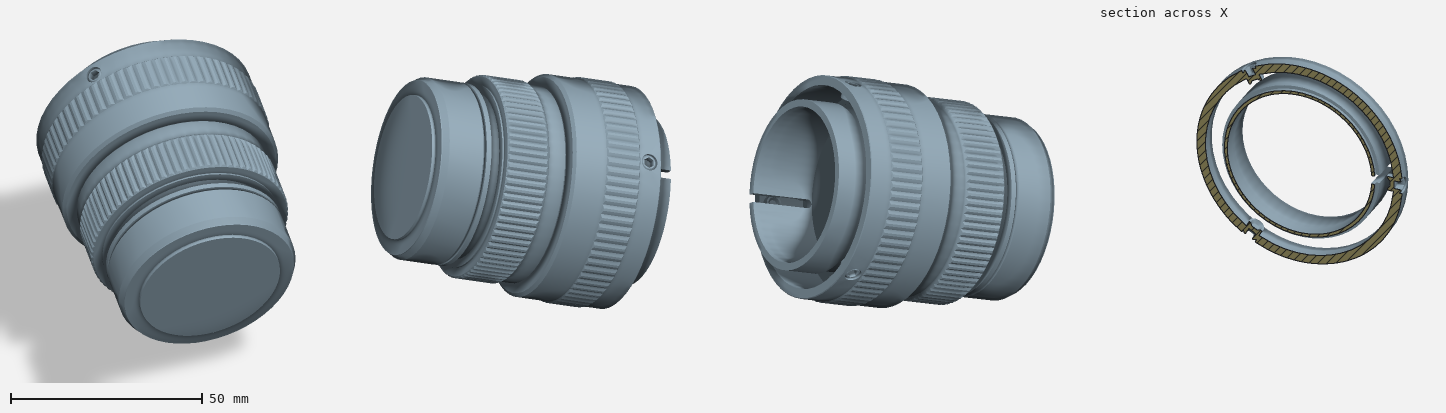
import cadquery as cq
import math

length = 66.6

tube_radius = 22.5
bore_radius = 20.6
bore_depth = 17.9
rear_tube_radius = 22.65
tube_groove_start = 8.8
tube_groove_radius = 21.6
rear_tube_start = 14.3

collar_start = 5.7
collar_end = 30.6
collar_radius = 29.4
collar_chamfer_length = 0.7
collar_chamfer_depth = 0.9
recess_radius = 26.8
recess_end = 19.0
inner_recess_radius = 24.35
inner_recess_end = 19.3
rim_chamfer = 0.2

groove_start_radius = 23.4
groove_end_radius = 23.75
ring_start = 31.2
ring_radius = 26.0
edge_chamfer = 0.45

rear_knurl_end = 48.25
barrel_radius = 24.1
lip_end = 48.7
neck_radius = 22.0
flange_start = 51.85
flange_end = 53.2
barrel_start = 53.65
barrel_taper_start = 63.8
barrel_taper_end = 65.4
barrel_end = 65.65
barrel_end_radius = 23.1
tail_base_radius = 19.2
tail_end_radius = 19.05

collar_knurl_start = 11.8
collar_knurl_end = 21.3
collar_knurl_radius = 29.8
collar_knurl_teeth = 72
rear_knurl_start = 36.2
rear_knurl_radius = 26.8
rear_knurl_root = 26.35
rear_knurl_lead = 1.0
rear_knurl_teeth = 80
tooth_tip_width = 0.65

screw_x = 9.1
screw_diameter = 4.45
screw_tip_radius = 25.0
screw_head_radius = 29.1
screw_chamfer = 0.5
screw_angles = (0, 120, 240)
socket_corner_diameter = 2.9
socket_depth = 2.0
cup_diameter = 3.45
cup_depth = 0.65

keyway_width = 2.3
keyway_end = 17.8
keyway_floor = 22.7


def turned(points):
    """Revolve a closed (x, radius) outline about the X axis."""
    return cq.Workplane("XY").polyline(points).close().revolve(360, (0, 0, 0), (1, 0, 0))


def knurl(start, end, tip_radius, root_radius, teeth, envelope):
    """Straight knurl with flat tips and sharp roots, its ends trimmed by a turned envelope."""
    pitch = 2 * math.pi / teeth
    half_tip = tooth_tip_width / 2 / tip_radius
    outline = []
    for tooth in range(teeth):
        root_angle = tooth * pitch
        tip_angle = root_angle + pitch / 2
        for radius, angle in (
            (root_radius, root_angle),
            (tip_radius, tip_angle - half_tip),
            (tip_radius, tip_angle + half_tip),
        ):
            outline.append((radius * math.cos(angle), radius * math.sin(angle)))
    toothed_bar = cq.Workplane("YZ").workplane(offset=start).polyline(outline).close().extrude(end - start)
    return toothed_bar.intersect(turned(envelope))


def radial_plane(angle, radius):
    """Plane at the screw position facing outwards; the angle runs from +Y towards +Z."""
    y = math.cos(math.radians(angle))
    z = math.sin(math.radians(angle))
    return cq.Workplane(cq.Plane((screw_x, radius * y, radius * z), (1, 0, 0), (0, y, z)))


def turned_body():
    return turned([
        (0, 0),
        (0, tube_radius),
        (tube_groove_start, tube_radius),
        (tube_groove_start, tube_groove_radius),
        (rear_tube_start, tube_groove_radius),
        (rear_tube_start, rear_tube_radius),
        (inner_recess_end, rear_tube_radius),
        (inner_recess_end, inner_recess_radius),
        (recess_end, inner_recess_radius),
        (recess_end, recess_radius),
        (collar_start, recess_radius),
        (collar_start, collar_radius - rim_chamfer),
        (collar_start + rim_chamfer, collar_radius),
        (collar_end - collar_chamfer_length, collar_radius),
        (collar_end, collar_radius - collar_chamfer_depth),
        (collar_end, groove_start_radius),
        (ring_start, groove_end_radius),
        (ring_start, ring_radius - edge_chamfer),
        (ring_start + edge_chamfer, ring_radius),
        (rear_knurl_end, ring_radius),
        (rear_knurl_end, barrel_radius),
        (lip_end, barrel_radius),
        (lip_end, neck_radius),
        (flange_start, neck_radius),
        (flange_start, barrel_radius),
        (flange_end, barrel_radius),
        (flange_end, neck_radius),
        (barrel_start, neck_radius),
        (barrel_start, barrel_radius - edge_chamfer),
        (barrel_start + edge_chamfer, barrel_radius),
        (barrel_taper_start, barrel_radius),
        (barrel_taper_end, barrel_end_radius),
        (barrel_end, barrel_end_radius),
        (barrel_end, tail_base_radius),
        (length, tail_end_radius),
        (length, 0),
    ])


def collar_knurl():
    rise = collar_knurl_radius - collar_radius
    return knurl(
        collar_knurl_start, collar_knurl_end, collar_knurl_radius, collar_radius, collar_knurl_teeth,
        [
            (collar_knurl_start, recess_radius),
            (collar_knurl_start, collar_radius),
            (collar_knurl_start + rise, collar_knurl_radius),
            (collar_knurl_end - rise, collar_knurl_radius),
            (collar_knurl_end, collar_radius),
            (collar_knurl_end, recess_radius),
        ],
    )


def rear_knurl():
    return knurl(
        rear_knurl_start, rear_knurl_end, rear_knurl_radius, rear_knurl_root, rear_knurl_teeth,
        [
            (rear_knurl_start, 0),
            (rear_knurl_start, ring_radius),
            (rear_knurl_start + rear_knurl_lead, rear_knurl_radius),
            (rear_knurl_end - edge_chamfer, rear_knurl_radius),
            (rear_knurl_end, rear_knurl_radius - edge_chamfer),
            (rear_knurl_end, 0),
        ],
    )


def bore():
    return cq.Workplane("YZ").circle(bore_radius).extrude(bore_depth)


def keyway():
    """Slot along the +Y side of the bore wall, open at the mouth and round at its inner end."""
    half_width = keyway_width / 2
    arc_start = keyway_end - half_width
    return (
        cq.Workplane("XZ")
        .moveTo(0, -half_width)
        .lineTo(arc_start, -half_width)
        .threePointArc((keyway_end, 0), (arc_start, half_width))
        .lineTo(0, half_width)
        .close()
        .extrude(-keyway_floor)
    )


def screw_hole(angle):
    wall = collar_knurl_radius - screw_tip_radius
    return radial_plane(angle, screw_tip_radius).circle(screw_diameter / 2).extrude(wall)


def set_screw(angle):
    """Cup-point set screw with a chamfered head and a hexagon socket."""
    screw_length = screw_head_radius - screw_tip_radius
    shank_radius = screw_diameter / 2
    head = radial_plane(angle, screw_head_radius)
    chamfer_cone = (
        radial_plane(angle, screw_tip_radius)
        .circle(shank_radius - screw_chamfer + screw_length)
        .workplane(offset=screw_length)
        .circle(shank_radius - screw_chamfer)
        .loft()
    )
    shank = radial_plane(angle, screw_tip_radius).circle(shank_radius).extrude(screw_length)
    socket = (
        head.transformed(rotate=(0, 0, 90))
        .polygon(6, socket_corner_diameter)
        .extrude(-socket_depth)
    )
    cup = (
        radial_plane(angle, screw_tip_radius)
        .circle(cup_diameter / 2)
        .workplane(offset=cup_depth)
        .circle(cup_diameter / 2 - cup_depth)
        .loft()
    )
    return shank.intersect(chamfer_cone).cut(socket).cut(cup)


result = turned_body().cut(bore()).cut(keyway())
for screw_angle in screw_angles:
    result = result.cut(screw_hole(screw_angle)).union(set_screw(screw_angle))
result = result.union(collar_knurl()).union(rear_knurl())